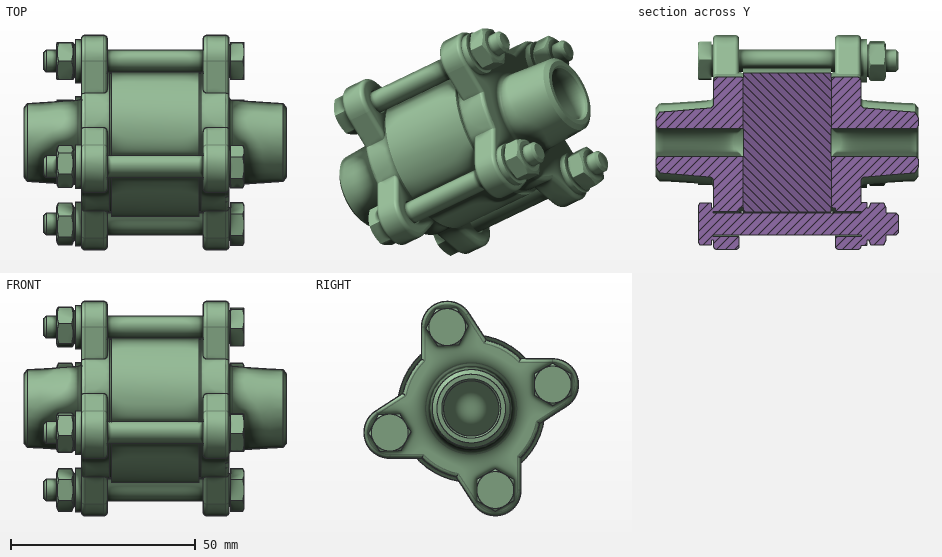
import cadquery as cq
import math

OVERALL_LENGTH = 71.2
OVERALL_HEIGHT = 58.12

BODY_DIAMETER = 40.0
BODY_LENGTH = 23.7

CAP_GAP = 0.5
CAP_INNER_X = BODY_LENGTH / 2 + CAP_GAP
CAP_FACE_X = 20.0
CAP_DIAMETER = 38.0
LAND_DIAMETER = 37.6
CAP_FILLET = 1.0

PIPE_END_X = OVERALL_LENGTH / 2
PIPE_ROOT_DIAMETER = 22.9
PIPE_TIP_DIAMETER = 21.1
PIPE_RIM_DIAMETER = 18.6
PIPE_CHAMFER_LENGTH = 1.0
PIPE_ROOT_FILLET = 0.9
BORE_DIAMETER = 15.0
BORE_CHAMFER = 0.5

LUG_COUNT = 4
LUG_RADIUS = 7.0
BOLT_CIRCLE_RADIUS = 23.0
LUG_TURN = math.degrees(math.acos((OVERALL_HEIGHT / 2 - LUG_RADIUS) / BOLT_CIRCLE_RADIUS))
LUG_THICKNESS = 7.05
LUG_FACE_FILLET = 1.0
LUG_BACK_FILLET = 1.1
LUG_ROOT_RADIUS = 13.0
BOLT_HOLE_DIAMETER = 6.7

BOLT_DIAMETER = 6.0
BOLT_TIP_DIAMETER = 4.5
BOLT_TIP_LENGTH = 0.7
BOLT_TIP_X = -30.2
HEX_FLATS = 10.0
HEX_CORNERS = HEX_FLATS / math.cos(math.radians(30))
NUT_FACE_DIAMETER = 8.88
HEAD_FACE_DIAMETER = HEX_FLATS
HEX_CHAMFER_ANGLE = 25.0
COLLAR_DIAMETER = 8.88
COLLAR_THICKNESS = 0.4
HEAD_HEIGHT = 3.65
NUT_HEIGHT = 4.8
WASHER_DIAMETER = 11.8
WASHER_THICKNESS = 1.6

NUT_TURNS = (30.0, -10.0, 7.5, 30.0)
HEAD_TURNS = (30.0, 3.5, 2.0, 30.0)


def disc(diameter, start_x, length):
    """Cylinder along +X on the valve axis."""
    return cq.Workplane("YZ", origin=(start_x, 0, 0)).circle(diameter / 2).extrude(length)


def make_cap_turning():
    """Right-hand cap disc with its tapered, bored pipe end, without the lugs."""
    bore = BORE_DIAMETER / 2
    root = PIPE_ROOT_DIAMETER / 2
    bend = math.sqrt(0.5)
    cap_radius = CAP_DIAMETER / 2
    cap_arc_middle = (
        CAP_FACE_X - CAP_FILLET * (1 - bend),
        cap_radius - CAP_FILLET * (1 - bend),
    )
    root_arc_middle = (
        CAP_FACE_X + PIPE_ROOT_FILLET * (1 - bend),
        root + PIPE_ROOT_FILLET * (1 - bend),
    )
    return (
        cq.Workplane("XY")
        .moveTo(BODY_LENGTH / 2, bore)
        .lineTo(BODY_LENGTH / 2, LAND_DIAMETER / 2)
        .lineTo(CAP_INNER_X, LAND_DIAMETER / 2)
        .lineTo(CAP_INNER_X, cap_radius)
        .lineTo(CAP_FACE_X - CAP_FILLET, cap_radius)
        .threePointArc(cap_arc_middle, (CAP_FACE_X, cap_radius - CAP_FILLET))
        .lineTo(CAP_FACE_X, root + PIPE_ROOT_FILLET)
        .threePointArc(root_arc_middle, (CAP_FACE_X + PIPE_ROOT_FILLET, root))
        .lineTo(PIPE_END_X - PIPE_CHAMFER_LENGTH, PIPE_TIP_DIAMETER / 2)
        .lineTo(PIPE_END_X, PIPE_RIM_DIAMETER / 2)
        .lineTo(PIPE_END_X, bore + BORE_CHAMFER)
        .lineTo(PIPE_END_X - BORE_CHAMFER, bore)
        .close()
        .revolve(360, (0, 0, 0), (1, 0, 0))
    )


def make_lug():
    """Rounded lug pointing along +Y on the right-hand cap, with its bolt hole."""
    flank = math.radians(LUG_TURN)
    tangent_y = BOLT_CIRCLE_RADIUS + LUG_RADIUS * math.sin(flank)
    tangent_z = LUG_RADIUS * math.cos(flank)
    root_z = tangent_z + (tangent_y - LUG_ROOT_RADIUS) * math.tan(flank)
    lug = (
        cq.Workplane("YZ", origin=(CAP_FACE_X - LUG_THICKNESS, 0, 0))
        .moveTo(LUG_ROOT_RADIUS, -root_z)
        .lineTo(tangent_y, -tangent_z)
        .threePointArc((BOLT_CIRCLE_RADIUS + LUG_RADIUS, 0), (tangent_y, tangent_z))
        .lineTo(LUG_ROOT_RADIUS, root_z)
        .close()
        .extrude(LUG_THICKNESS)
        .faces(">X")
        .edges()
        .fillet(LUG_FACE_FILLET)
        .faces("<X")
        .edges()
        .fillet(LUG_BACK_FILLET)
    )
    hole = disc(BOLT_HOLE_DIAMETER, 0, PIPE_END_X).translate((0, BOLT_CIRCLE_RADIUS, 0))
    return lug.cut(hole)


def make_cap():
    """Right-hand cap complete with its lugs."""
    cap = make_cap_turning()
    lug = make_lug()
    for index in range(LUG_COUNT):
        angle = LUG_TURN + index * 360 / LUG_COUNT
        cap = cap.union(lug.rotate((0, 0, 0), (1, 0, 0), angle))
    return cap


def make_hexagon(start_x, height, turn, face_diameter, chamfered_ends):
    """Hexagonal prism along +X, its corners cone-chamfered at the selected ends."""
    chamfer_width = (HEX_CORNERS - face_diameter) / 2
    chamfer_length = chamfer_width * math.tan(math.radians(HEX_CHAMFER_ANGLE))
    envelope = disc(HEX_CORNERS, start_x, height).faces(chamfered_ends).chamfer(chamfer_length, chamfer_width)
    prism = (
        cq.Workplane("YZ", origin=(start_x, 0, 0))
        .polygon(6, HEX_CORNERS)
        .extrude(height)
        .rotate((0, 0, 0), (1, 0, 0), turn)
    )
    return prism.intersect(envelope)


def make_bolt(nut_turn, head_turn):
    """Bolt on the valve axis with its head at +X and its washer and nut at -X."""
    head_x = CAP_FACE_X + COLLAR_THICKNESS
    washer_x = -CAP_FACE_X - WASHER_THICKNESS
    nut_x = washer_x - COLLAR_THICKNESS - NUT_HEIGHT
    tip_chamfer_width = (BOLT_DIAMETER - BOLT_TIP_DIAMETER) / 2
    shank = (
        disc(BOLT_DIAMETER, BOLT_TIP_X, head_x - BOLT_TIP_X)
        .faces("<X")
        .chamfer(BOLT_TIP_LENGTH, tip_chamfer_width)
    )
    return (
        shank.union(disc(COLLAR_DIAMETER, CAP_FACE_X, COLLAR_THICKNESS))
        .union(make_hexagon(head_x, HEAD_HEIGHT, head_turn, HEAD_FACE_DIAMETER, ">X"))
        .union(disc(WASHER_DIAMETER, washer_x, WASHER_THICKNESS))
        .union(disc(COLLAR_DIAMETER, washer_x - COLLAR_THICKNESS, COLLAR_THICKNESS))
        .union(make_hexagon(nut_x, NUT_HEIGHT, nut_turn, NUT_FACE_DIAMETER, "<X or >X"))
    )


def make_bolted_caps():
    """Both end caps, joined into one solid by the four bolts."""
    right_cap = make_cap()
    frame = right_cap.union(right_cap.mirror("YZ"))
    for index in range(LUG_COUNT):
        angle = math.radians(LUG_TURN + index * 360 / LUG_COUNT)
        bolt_y = BOLT_CIRCLE_RADIUS * math.cos(angle)
        bolt_z = BOLT_CIRCLE_RADIUS * math.sin(angle)
        bolt = make_bolt(NUT_TURNS[index], HEAD_TURNS[index])
        frame = frame.union(bolt.translate((0, bolt_y, bolt_z)))
    return frame


def make_middle_body():
    """Closed round body between the two caps."""
    return disc(BODY_DIAMETER, -BODY_LENGTH / 2, BODY_LENGTH)


bolted_caps = make_bolted_caps()
middle_body = make_middle_body()

result = cq.Compound.makeCompound([bolted_caps.val(), middle_body.val()])